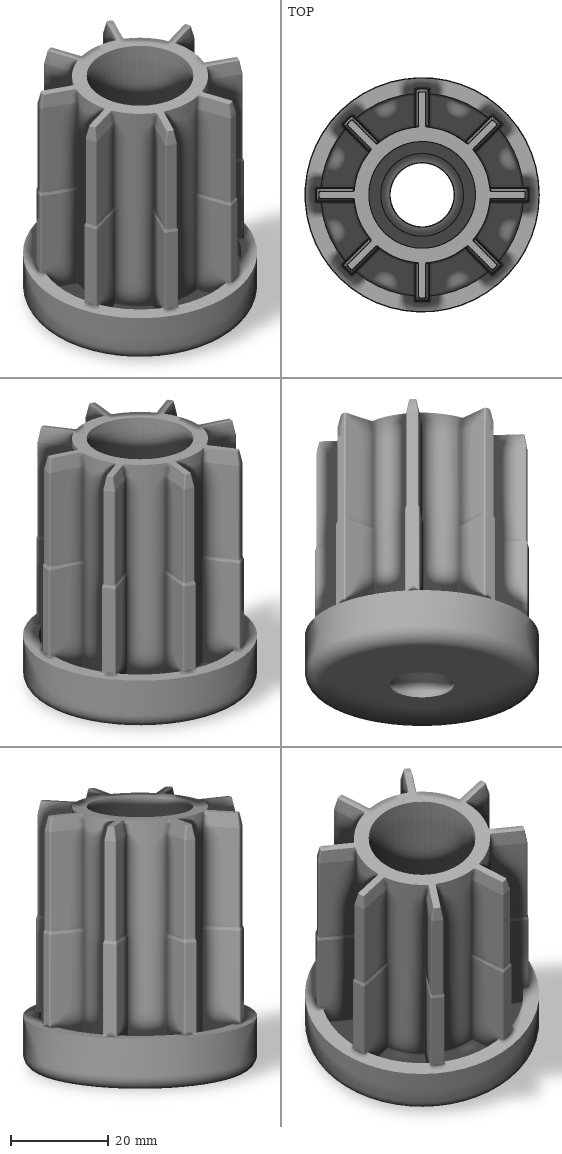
import cadquery as cq
import math

total_height = 55.0
base_radius = 24.15
base_height = 11.0
base_edge_round = 3.0

tube_radius = 14.0
bore_radius = 11.0
seat_radius = 8.5
hole_radius = 6.6
seat_depth = 3.0

recess_radius = 20.9
recess_depth = 4.0
recess_floor = base_height - recess_depth

rib_count = 8
rib_reach = 22.0
rib_width = 3.0
rib_inner_end = (tube_radius + bore_radius) / 2
rib_edge_round = 0.35
stage_inset = 0.2
stage_bottom = 30.35
stage_top = 31.0
tip_inset = 0.55
tip_height = 3.0
tip_bottom = total_height - tip_height

corner_round = 0.3

tolerance = 0.005


def cylinder(radius, bottom, top):
    """Upright cylinder on the Z axis between two heights."""
    return cq.Workplane("XY").workplane(offset=bottom).circle(radius).extrude(top - bottom)


def make_body():
    """Base disc with a rounded bottom edge, a ring recess and the solid tube."""
    base = cylinder(base_radius, 0, base_height).faces("<Z").edges().fillet(base_edge_round)
    recess = cylinder(recess_radius, recess_floor, base_height)
    tube = cylinder(tube_radius, 0, total_height)
    return base.cut(recess).union(tube)


def make_bore():
    """Wide bore down to the recess floor level, then a seat and a through hole."""
    bore = cylinder(bore_radius, recess_floor, total_height)
    seat = cylinder(seat_radius, recess_floor - seat_depth, recess_floor)
    hole = cylinder(hole_radius, 0, recess_floor)
    return bore.union(seat).union(hole)


def rib_outline(height, inset):
    """Rectangular rib section at a height, pulled in from full size by the inset."""
    reach = rib_reach - inset
    half_width = rib_width / 2 - inset
    corners = [
        cq.Vector(rib_inner_end, -half_width, height),
        cq.Vector(reach, -half_width, height),
        cq.Vector(reach, half_width, height),
        cq.Vector(rib_inner_end, half_width, height),
    ]
    return cq.Wire.makePolygon(corners, close=True)


def is_outer_corner(edge):
    """True for the rising edges at the free end of the rib."""
    rises = abs(edge.tangentAt(0.5).z) > 0.5
    return rises and edge.Center().x > tube_radius


def make_rib():
    """One rib along +X: two straight stages joined by a sloped step, and a tapered tip."""
    outlines = [
        rib_outline(recess_floor, 0),
        rib_outline(stage_bottom, 0),
        rib_outline(stage_top, stage_inset),
        rib_outline(tip_bottom, stage_inset),
        rib_outline(total_height, stage_inset + tip_inset),
    ]
    rib = cq.Workplane(cq.Solid.makeLoft(outlines, ruled=True))
    outer_corners = [edge for edge in rib.edges().vals() if is_outer_corner(edge)]
    return rib.newObject(outer_corners).fillet(rib_edge_round)


def is_inside_corner(edge):
    """True where the ribs, tube, recess and rim meet in a hollow corner."""
    middle = edge.positionAt(0.5)
    radius = math.hypot(middle.x, middle.y)
    above_floor = middle.z > recess_floor - tolerance
    in_recess = above_floor and middle.z < base_height - tolerance and radius < recess_radius + tolerance
    on_rim = recess_radius + tolerance < radius < base_radius - tolerance
    rib_foot = on_rim and abs(middle.z - base_height) < tolerance
    rib_root = above_floor and middle.z < total_height - tolerance and abs(radius - tube_radius) < tolerance
    return in_recess or rib_foot or rib_root


body = make_body()
rib = make_rib()
for index in range(rib_count):
    body = body.union(rib.rotate((0, 0, 0), (0, 0, 1), index * 360 / rib_count))

inside_corners = [edge for edge in body.edges().vals() if is_inside_corner(edge)]
body = body.newObject(inside_corners).fillet(corner_round)

result = body.cut(make_bore())